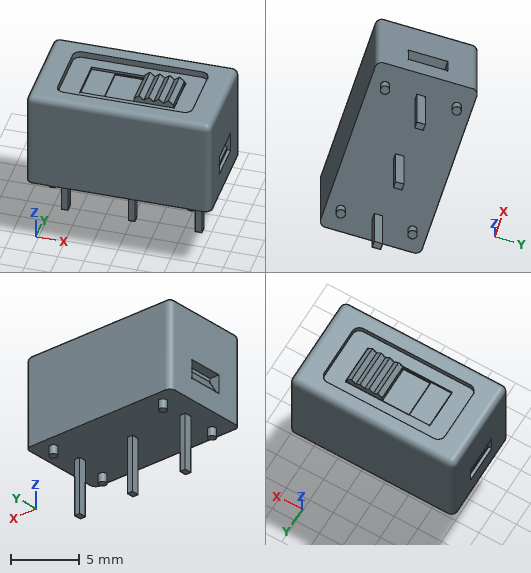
import cadquery as cq

LENGTH = 14.0
WIDTH = 7.8
HEIGHT = 7.7
EDGE_RADIUS = 0.5

FLANK_LENGTH = 12.4
FLANK_HEIGHT = 3.53
FLANK_THICKNESS = 0.5

FIELD_LENGTH = 10.25
FIELD_WIDTH = 5.15
FIELD_DEPTH = 0.5
FIELD_CORNER_RADIUS = 0.6
FIELD_FLOOR_Z = HEIGHT - FIELD_DEPTH

WINDOW_LENGTH = 7.15
WINDOW_WIDTH = 3.2
WINDOW_DEPTH = 0.2
WINDOW_FLOOR_Z = FIELD_FLOOR_Z - WINDOW_DEPTH
TRACK_CLEARANCE = 0.06
TRACK_START_X = -1.77
TRACK_END_X = WINDOW_LENGTH / 2 - TRACK_CLEARANCE
TRACK_WIDTH = WINDOW_WIDTH - 2 * TRACK_CLEARANCE
TRACK_DEPTH = 0.1
TRACK_FLOOR_Z = WINDOW_FLOOR_Z - TRACK_DEPTH

BUTTON_START_X = 0.52
BUTTON_END_X = 3.5
BUTTON_WIDTH = 3.0
TOOTH_COUNT = 4
TOOTH_PITCH = (BUTTON_END_X - BUTTON_START_X) / TOOTH_COUNT
TOOTH_HEIGHT = 0.31
TOOTH_VALLEY_Z = HEIGHT - TOOTH_HEIGHT

POCKET_WIDTH = 3.02
POCKET_BOTTOM_Z = 1.82
POCKET_TOP_Z = 3.37
POCKET_DEPTH = 0.84
CATCH_SIDE_GAP = 0.06
CATCH_WIDTH = POCKET_WIDTH - 2 * CATCH_SIDE_GAP
CATCH_RAMP_START_Z = 2.05
CATCH_RAMP_END_Z = 3.06
CATCH_INSET = 0.26

PIN_PITCH = 5.08
PIN_THICKNESS = 0.5
PIN_WIDTH = 0.65
PIN_LENGTH = 4.7
PEG_SPACING_X = 10.54
PEG_SPACING_Y = 5.5
PEG_DIAMETER = 0.68
PEG_LENGTH = 0.75


def make_housing():
    block = cq.Workplane("XY").box(LENGTH, WIDTH, HEIGHT, centered=(True, True, False))
    return block.edges("|Z").fillet(EDGE_RADIUS).faces(">Z").edges().fillet(EDGE_RADIUS)


def make_field_recess():
    recess = cq.Workplane("XY").workplane(offset=FIELD_FLOOR_Z).rect(FIELD_LENGTH, FIELD_WIDTH)
    return recess.extrude(FIELD_DEPTH).edges("|Z").fillet(FIELD_CORNER_RADIUS)


def make_window():
    window = cq.Workplane("XY").workplane(offset=WINDOW_FLOOR_Z)
    return window.rect(WINDOW_LENGTH, WINDOW_WIDTH).extrude(WINDOW_DEPTH)


def make_track():
    track = cq.Workplane("XY").workplane(offset=TRACK_FLOOR_Z)
    track = track.center((TRACK_START_X + TRACK_END_X) / 2, 0)
    return track.rect(TRACK_END_X - TRACK_START_X, TRACK_WIDTH).extrude(TRACK_DEPTH)


def make_button():
    outline = cq.Workplane("XZ").moveTo(BUTTON_START_X, TRACK_FLOOR_Z)
    outline = outline.lineTo(BUTTON_START_X, TOOTH_VALLEY_Z)
    for tooth in range(TOOTH_COUNT):
        tooth_start_x = BUTTON_START_X + tooth * TOOTH_PITCH
        outline = outline.lineTo(tooth_start_x + TOOTH_PITCH / 2, TOOTH_VALLEY_Z + TOOTH_HEIGHT)
        outline = outline.lineTo(tooth_start_x + TOOTH_PITCH, TOOTH_VALLEY_Z)
    outline = outline.lineTo(BUTTON_END_X, TRACK_FLOOR_Z).close()
    return outline.extrude(BUTTON_WIDTH / 2, both=True)


def make_snap_pocket():
    """Pocket in the -X end wall, less the ramped catch standing at its back."""
    outer_x = -LENGTH / 2
    back_x = outer_x + POCKET_DEPTH
    opening = (
        cq.Workplane("XZ")
        .moveTo(outer_x, POCKET_BOTTOM_Z)
        .lineTo(back_x, POCKET_BOTTOM_Z)
        .lineTo(back_x, POCKET_TOP_Z)
        .lineTo(outer_x, POCKET_TOP_Z)
        .close()
        .extrude(POCKET_WIDTH / 2, both=True)
    )
    catch = (
        cq.Workplane("XZ")
        .moveTo(back_x, POCKET_BOTTOM_Z)
        .lineTo(outer_x + CATCH_INSET, POCKET_BOTTOM_Z)
        .lineTo(outer_x + CATCH_INSET, CATCH_RAMP_START_Z)
        .lineTo(back_x, CATCH_RAMP_END_Z)
        .close()
        .extrude(CATCH_WIDTH / 2, both=True)
    )
    return opening.cut(catch)


def make_pins():
    pins = cq.Workplane("XY").rarray(PIN_PITCH, 1, 3, 1)
    return pins.rect(PIN_THICKNESS, PIN_WIDTH).extrude(-PIN_LENGTH)


def make_pegs():
    pegs = cq.Workplane("XY").rarray(PEG_SPACING_X, PEG_SPACING_Y, 2, 2)
    return pegs.circle(PEG_DIAMETER / 2).extrude(-PEG_LENGTH)


def make_flank(side):
    """Base flank flush with the housing wall on the given side (+1 or -1 along Y)."""
    center_y = side * (WIDTH - FLANK_THICKNESS) / 2
    flank = cq.Workplane("XY").center(0, center_y)
    return flank.rect(FLANK_LENGTH, FLANK_THICKNESS).extrude(FLANK_HEIGHT)


snap_pocket = make_snap_pocket()
body = make_housing().cut(make_field_recess()).cut(make_window()).cut(make_track())
body = body.cut(snap_pocket).cut(snap_pocket.mirror("YZ"))
body = body.union(make_button()).union(make_pins()).union(make_pegs())

for flank_side in (-1, 1):
    flank = make_flank(flank_side)
    body = body.cut(flank, clean=False).union(flank, clean=False)

result = body